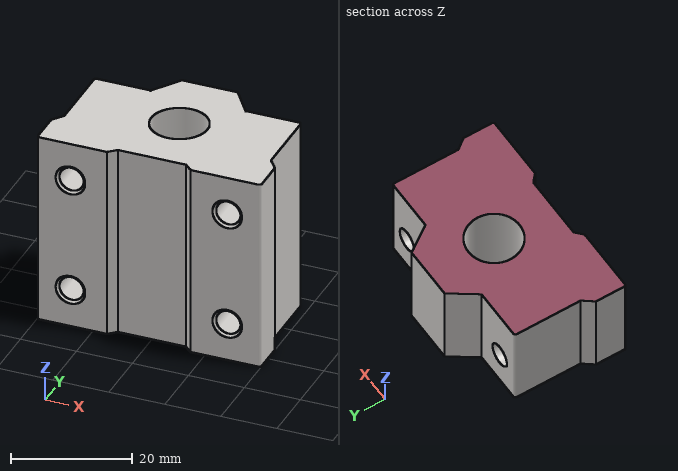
import cadquery as cq

width = 40.0
depth = 26.0
height = 35.0

flange_side = 6.0
shoulder_y = 8.0
body_half_width = 18.5
body_back_y = 21.0
ridge_base_half_width = 8.5
ridge_top_half_width = 5.0
groove_depth = 1.3
groove_mouth_half_width = 7.5
groove_floor_half_width = 6.1
corner_radius = 0.5

bore_diameter = 10.0
bore_y = 13.0

hole_diameter = 4.3
countersink_diameter = 5.3
hole_spacing_x = 28.0
hole_spacing_z = 21.0


def make_body():
    """Extrude the symmetric profile along Z, centred on Z = 0, and round its outer corners."""
    half_width = width / 2
    right_side = [
        (groove_floor_half_width, groove_depth),
        (groove_mouth_half_width, 0),
        (half_width, 0),
        (half_width, flange_side),
        (body_half_width, shoulder_y),
        (body_half_width, body_back_y),
        (ridge_base_half_width, body_back_y),
        (ridge_top_half_width, depth),
    ]
    left_side = [(-x, y) for x, y in reversed(right_side)]
    body = (
        cq.Workplane("XY")
        .workplane(offset=-height / 2)
        .polyline(right_side + left_side)
        .close()
        .extrude(height)
    )
    for x, y in [(half_width, 0), (body_half_width, body_back_y)]:
        for side in (-1, 1):
            corner = cq.selectors.NearestToPointSelector((side * x, y, 0))
            body = body.edges("|Z").edges(corner).fillet(corner_radius)
    return body


def cut_bore(body):
    """Cut the shaft bore through the full height."""
    bore = (
        cq.Workplane("XY")
        .workplane(offset=-height / 2)
        .center(0, bore_y)
        .circle(bore_diameter / 2)
        .extrude(height)
    )
    return body.cut(bore)


def cut_mounting_holes(body):
    """Cut four through holes along Y, with 90 degree countersinks on the mounting face."""
    hole_radius = hole_diameter / 2
    countersink_radius = countersink_diameter / 2
    countersink_depth = countersink_radius - hole_radius
    along_y = cq.Vector(0, 1, 0)
    for x in (-hole_spacing_x / 2, hole_spacing_x / 2):
        for z in (-hole_spacing_z / 2, hole_spacing_z / 2):
            mouth = cq.Vector(x, 0, z)
            hole = cq.Solid.makeCylinder(hole_radius, depth, mouth, along_y)
            countersink = cq.Solid.makeCone(
                countersink_radius, hole_radius, countersink_depth, mouth, along_y
            )
            body = body.cut(cq.Workplane(hole)).cut(cq.Workplane(countersink))
    return body


result = cut_mounting_holes(cut_bore(make_body()))